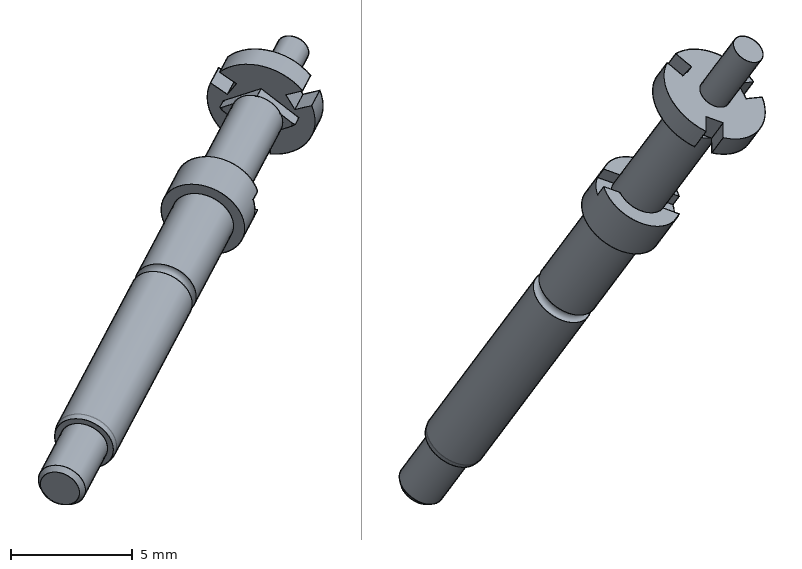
import cadquery as cq

TIP_END = 3.02
GROOVE_CENTRE = 13.0
COLLAR_START = 17.95
COLLAR_END = 19.8
KEY_START = 24.8
DISC_START = 25.3
DISC_END = 26.3
TAIL_END = 29.3

TIP_DIAMETER = 2.05
BODY_DIAMETER = 2.67
COLLAR_DIAMETER = 3.63
NECK_DIAMETER = 2.23
DISC_DIAMETER = 4.7
TAIL_DIAMETER = 1.38

END_CHAMFER_LENGTH = 0.23
TIP_CHAMFER_DEPTH = 0.18
BODY_CHAMFER_DEPTH = 0.05

GROOVE_WIDTH = 0.5
GROOVE_DEPTH = 0.23

KEY_WIDTH = 3.28
KEY_HEIGHT = NECK_DIAMETER
KEY_CHAMFER_LENGTH = 0.05
KEY_CHAMFER_DEPTH = 0.12

COLLAR_SLOT_WIDTH = 1.0
COLLAR_SLOT_LENGTH = 0.55

DISC_SLOT_COUNT = 3
DISC_SLOT_WIDTH = 0.8
DISC_SLOT_FLOOR_RADIUS = 1.46
FIRST_DISC_SLOT_ANGLE = 30.0


def section_plane(y):
    """Plane across the axis at y, with local X = +X, local Y = +Z and normal -Y."""
    return cq.Workplane("XZ", origin=(0, y, 0))


def cylinder(diameter, start, end):
    return section_plane(end).circle(diameter / 2).extrude(end - start)


def chamfered_cylinder(diameter, start, end, chamfer_length, chamfer_depth):
    """Cylinder whose -Y edge is chamfered by a length along the axis and a depth towards it."""
    corners = [
        (0, start),
        (diameter / 2 - chamfer_depth, start),
        (diameter / 2, start + chamfer_length),
        (diameter / 2, end),
        (0, end),
    ]
    return cq.Workplane("XY").polyline(corners).close().revolve(360, (0, 0, 0), (0, 1, 0))


def groove_cutter():
    """Round-bottomed ring around the body."""
    radius = BODY_DIAMETER / 2
    profile = (
        cq.Workplane("XY")
        .moveTo(radius, GROOVE_CENTRE - GROOVE_WIDTH / 2)
        .threePointArc((radius - GROOVE_DEPTH, GROOVE_CENTRE), (radius, GROOVE_CENTRE + GROOVE_WIDTH / 2))
        .close()
    )
    return profile.revolve(360, (0, 0, 0), (0, 1, 0))


def collar():
    """Ring with a slot on the +X and -X sides, to be filled again by the neck."""
    ring = cylinder(COLLAR_DIAMETER, COLLAR_START, COLLAR_END)
    slot = (
        section_plane(COLLAR_END)
        .rect(COLLAR_DIAMETER, COLLAR_SLOT_WIDTH)
        .extrude(COLLAR_SLOT_LENGTH)
    )
    return ring.cut(slot)


def key():
    """Diamond plate whose side tips are bevelled on the neck side."""
    half_width = KEY_WIDTH / 2
    half_height = KEY_HEIGHT / 2
    length = DISC_START - KEY_START
    corners = [(half_width, 0), (0, half_height), (-half_width, 0), (0, -half_height)]
    diamond = section_plane(DISC_START).polyline(corners).close().extrude(length)
    envelope = chamfered_cylinder(
        KEY_WIDTH, KEY_START, DISC_START, KEY_CHAMFER_LENGTH, KEY_CHAMFER_DEPTH
    )
    return diamond.intersect(envelope)


def disc():
    """Flange with evenly spaced flat-bottomed slots in its rim."""
    flange = cylinder(DISC_DIAMETER, DISC_START, DISC_END)
    slot_depth = DISC_DIAMETER / 2 - DISC_SLOT_FLOOR_RADIUS
    slot_centre = DISC_SLOT_FLOOR_RADIUS + slot_depth / 2
    slot = (
        section_plane(DISC_END)
        .center(slot_centre, 0)
        .rect(slot_depth, DISC_SLOT_WIDTH)
        .extrude(DISC_END - DISC_START)
    )
    for i in range(DISC_SLOT_COUNT):
        angle = FIRST_DISC_SLOT_ANGLE + i * 360 / DISC_SLOT_COUNT
        flange = flange.cut(slot.rotate((0, 0, 0), (0, -1, 0), angle))
    return flange


tip = chamfered_cylinder(TIP_DIAMETER, 0, TIP_END, END_CHAMFER_LENGTH, TIP_CHAMFER_DEPTH)
plain_body = chamfered_cylinder(
    BODY_DIAMETER, TIP_END, COLLAR_START, END_CHAMFER_LENGTH, BODY_CHAMFER_DEPTH
)
body = plain_body.cut(groove_cutter())
neck = cylinder(NECK_DIAMETER, COLLAR_START, KEY_START)
tail = cylinder(TAIL_DIAMETER, DISC_END, TAIL_END)

result = tip.union(body).union(collar()).union(neck).union(key()).union(disc()).union(tail)